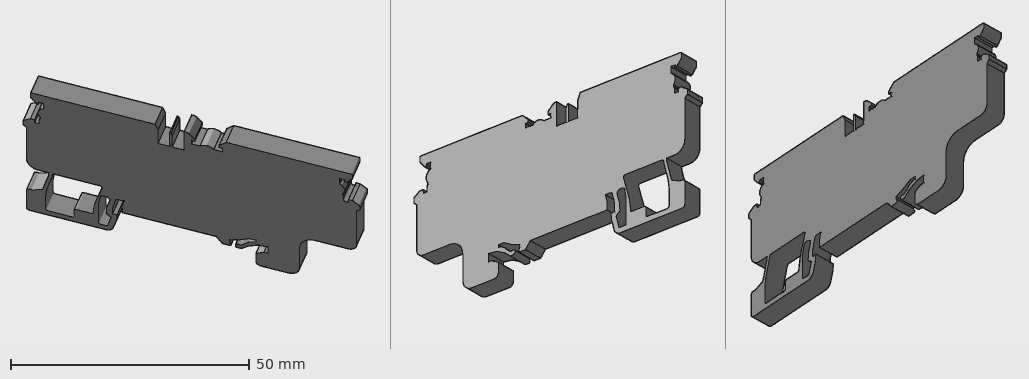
import cadquery as cq
import math


LENGTH = 74.7
THICKNESS = 5.0
HEIGHT = 37.4

tip_x = LENGTH / 2
wall_x = tip_x - 0.75
shoulder_x = tip_x - 1.65
shelf_z = 13.45
base_z = 6.7

groove_x = tip_x - 3.8
groove_bulge_radius = 1.95
groove_bulge_rise = 0.45
groove_bulge_z = 31.6

slot_left_x = -7.4
slot_right_x = -1.65
slot_floor_z = 31.6
tongue_left_x = -4.85
tongue_right_x = -4.25
tongue_top_z = 35.85
marker_left_x = 0.0
marker_right_x = 6.9
marker_floor_z = 34.15
marker_lip_z = 35.2
marker_nose_z = 35.85
marker_nose = 0.75
dome_radius = 2.1
dome_rise = 0.7

foot_left_x = -wall_x
window_floor_z = 1.35
slit_top_z = 10.5
fixed_foot_x = 24.0
fixed_foot_z = 1.0
hook_x = 14.3
throat_x = 16.95
throat_z = 5.6


def rounded_outline(corners):
    """Closed wire through (x, z, radius) corners; a zero radius leaves the corner sharp."""
    path = cq.Workplane("XZ")
    started = False
    for i, (x, z, radius) in enumerate(corners):
        before = corners[i - 1]
        after = corners[(i + 1) % len(corners)]
        if radius == 0:
            stops = [(x, z)]
        else:
            to_before = cq.Vector(before[0] - x, before[1] - z).normalized()
            to_after = cq.Vector(after[0] - x, after[1] - z).normalized()
            half_angle = to_before.getAngle(to_after) / 2
            tangent = radius / math.tan(half_angle)
            corner = cq.Vector(x, z)
            to_middle = (to_before + to_after).normalized()
            arc_middle = corner + to_middle * (radius / math.sin(half_angle) - radius)
            stops = [
                (corner + to_before * tangent).toTuple()[:2],
                arc_middle.toTuple()[:2],
                (corner + to_after * tangent).toTuple()[:2],
            ]
        path = path.lineTo(*stops[0]) if started else path.moveTo(*stops[0])
        started = True
        if radius:
            path = path.threePointArc(stops[1], stops[2])
    return path.close()


def extruded(corners):
    """Full-width prism, centred on Y = 0, of the outline through the corners."""
    return rounded_outline(corners).extrude(THICKNESS / 2, both=True)


def cross_cylinder(x, z, radius):
    """Full-width cylinder along Y."""
    return cq.Workplane("XZ").center(x, z).circle(radius).extrude(THICKNESS / 2, both=True)


def mirrored(corners):
    """The same corners at the opposite end, in reversed order."""
    return [(-x, z, radius) for x, z, radius in reversed(corners)]


right_end = [
    (shoulder_x, HEIGHT, 0.3),
    (shoulder_x, 36.0, 0.6),
    (34.5, 34.5, 0),
    (34.0, 34.35, 0),
    (33.9, 34.95, 0),
    (32.8, 34.95, 0),
    (32.8, 33.55, 0),
    (33.0, 33.1, 0),
    (groove_x, 32.65, 0),
    (groove_x, 29.95, 0),
    (33.8, 29.5, 0),
    (33.8, 28.2, 0.3),
    (34.7, 28.2, 0),
    (34.8, 29.1, 0),
    (shoulder_x, 29.1, 0),
    (tip_x, 28.0, 0.45),
    (tip_x, 26.75, 0),
    (wall_x, 26.1, 0),
]

fixed_foot = [
    (wall_x, shelf_z, 1.9),
    (fixed_foot_x, shelf_z, 3.6),
    (fixed_foot_x, fixed_foot_z, 2.55),
    (hook_x, fixed_foot_z, 1.2),
    (hook_x, 4.55, 0),
    (16.05, throat_z, 0),
    (throat_x, throat_z, 0),
    (throat_x, 7.6, 0),
]

spring_finger = [
    (14.7, 7.3, 1.5),
    (12.6, 6.3, 1.5),
    (11.05, 4.9, 0.45),
    (9.8, 4.9, 0.45),
    (9.8, 6.05, 0.2),
    (11.05, 6.05, 0.4),
    (12.8, 7.6, 0.6),
    (13.75, 8.1, 0),
    (hook_x, 8.15, 0),
    (hook_x, 8.75, 0),
    (12.8, 8.75, 1.1),
    (10.75, 7.6, 1.5),
    (8.45, 6.7, 0),
    (8.45, 6.1, 0),
    (8.9, 5.0, 0.2),
    (6.9, 5.0, 0),
    (5.5, base_z, 0),
]

spring_foot = [
    (-15.4, base_z, 0),
    (-15.4, 8.8, 0),
    (-14.95, slit_top_z, 0),
    (-16.7, slit_top_z, 0.75),
    (-17.5, 7.4, 0.75),
    (-17.5, throat_z, 0),
    (-16.5, throat_z, 0),
    (-16.6, 4.0, 0.75),
    (-17.6, 0.0, 1.8),
    (foot_left_x, 0.0, 0.75),
    (foot_left_x, base_z, 0.6),
    (-35.25, base_z, 0.75),
    (-33.0, 7.7, 0.45),
    (-31.7, 12.7, 0.75),
    (-31.7, shelf_z, 0),
    (-wall_x, shelf_z, 2.8),
]

top_face = [
    (-8.1, HEIGHT, 0),
    (slot_left_x, 35.85, 0),
    (slot_left_x, slot_floor_z, 0),
    (tongue_left_x, slot_floor_z, 0),
    (tongue_left_x, tongue_top_z, 0),
    (-4.55, tongue_top_z, 0),
    (tongue_right_x, 35.25, 0),
    (tongue_right_x, slot_floor_z, 0),
    (slot_right_x, slot_floor_z, 0),
    (slot_right_x, HEIGHT, 0),
    (-0.8, HEIGHT, 1.1),
    (marker_left_x + marker_nose, marker_nose_z, 0),
    (marker_left_x + marker_nose, marker_lip_z, 0),
    (marker_left_x, marker_lip_z, 0),
    (marker_left_x, marker_floor_z, 0),
    (marker_right_x, marker_floor_z, 0),
    (marker_right_x, marker_lip_z, 0),
    (marker_right_x - marker_nose, marker_lip_z, 0),
    (marker_right_x - marker_nose, marker_nose_z, 0),
    (7.7, HEIGHT, 0),
]

foot_window = [
    (-30.7, shelf_z, 0.45),
    (-32.05, 8.1, 2.25),
    (-32.35, 5.7, 2.25),
    (-32.35, window_floor_z, 0.5),
    (-26.1, window_floor_z, 0.3),
    (-26.1, 4.0, 0.6),
    (-21.9, 4.0, 0.3),
    (-21.45, 7.4, 2.25),
    (-19.7, shelf_z, 0.45),
]

foot_slit = [
    (-20.1, slit_top_z, 0.75),
    (-20.6, 7.7, 1.5),
    (-20.6, window_floor_z, 0.4),
    (-18.7, window_floor_z, 0.3),
    (-17.85, 4.4, 0.4),
    (-18.9, 5.2, 0.4),
    (-18.75, 7.4, 1.5),
    (-17.85, slit_top_z, 0.9),
]

body = extruded(right_end + fixed_foot + spring_finger + spring_foot + mirrored(right_end) + top_face)

bulge_x = groove_x + groove_bulge_rise - groove_bulge_radius
for side in (-1, 1):
    body = body.union(cross_cylinder(side * bulge_x, groove_bulge_z, groove_bulge_radius))
dome_x = (marker_left_x + marker_right_x) / 2
body = body.union(cross_cylinder(dome_x, marker_floor_z + dome_rise - dome_radius, dome_radius))

for opening in (foot_window, foot_slit):
    body = body.cut(extruded(opening))

result = body